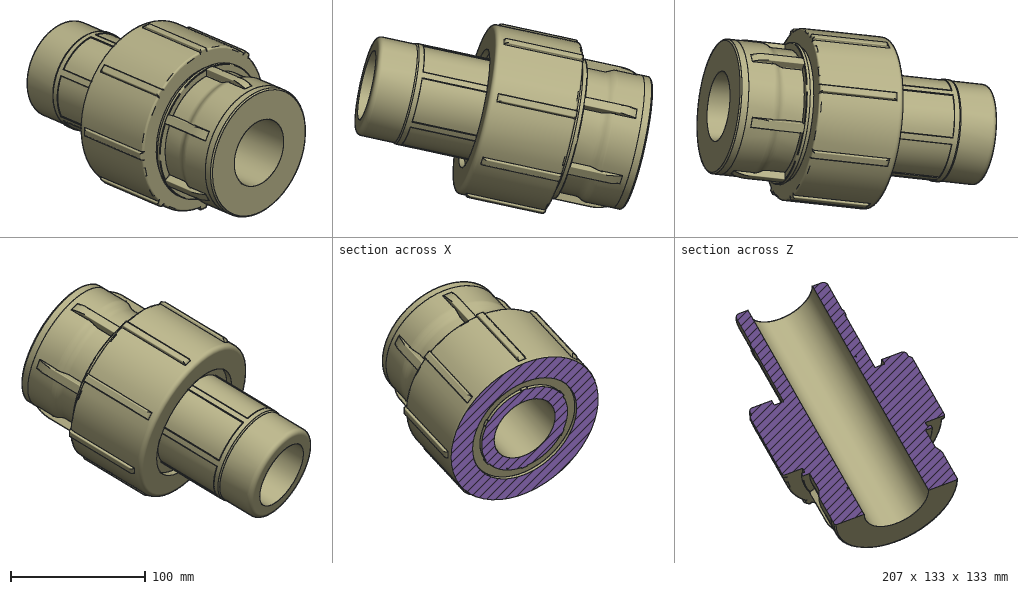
import cadquery as cq
import math


TOTAL_LENGTH = 207.0
COLLAR_START = 29.0
COLLAR_END = 34.3
NUT_START = 82.8
NUT_END = 149.4
RIM_START = 152.9
RIM_END = 155.9
NECK_END = 170.6
SHOULDER_MIDDLE = 175.4
SHOULDER_END = 180.2
END_BAND_START = 200.5

BORE_DIAMETER = 52.63
PIPE_DIAMETER = 75.18
COLLAR_DIAMETER = 76.69
PIPE_END_ROUND = 3.8
COLLAR_LEAD_IN = 1.2

PIPE_RIB_COUNT = 6
PIPE_RIB_WIDTH = 4.9
PIPE_RIB_FOOT_ROUND = 0.5

NUT_DIAMETER = 129.01
NUT_BORE_DIAMETER = 90.22
NUT_BORE_DEPTH = 4.6
NUT_FRONT_ROUND = 3.5
NUT_BACK_ROUND = 1.5

NUT_RIB_COUNT = 8
NUT_RIB_TIP_DIAMETER = 133.0
NUT_RIB_START = 88.4
NUT_RIB_WIDTH = 5.7
NUT_RIB_FOOT_ROUND = 0.6
NUT_RIB_TOP_ROUND = 0.8
NUT_RIB_END_ROUND = 3.3

BODY_DIAMETER = 101.08
END_BAND_DIAMETER = 101.12
NECK_DIAMETER = 95.4
RIM_DIAMETER = 106.4
RIM_ROUND = 0.5
BODY_END_CHAMFER = 1.1

BODY_RIB_COUNT = 6
BODY_RIB_WIDTH = 7.2
BODY_RIB_FOOT_ROUND = 0.6
BODY_RIB_TOP_ROUND = 0.5
BODY_RIB_BEND = 184.0
BODY_RIB_END = 196.0

RIB_EMBED = 3.0
FOOT_SINK = 0.05


def cylinder(diameter, start, end):
    """Solid cylinder along X between two positions."""
    return cq.Workplane("YZ", origin=(start, 0, 0)).circle(diameter / 2).extrude(end - start)


def straight_rib(start, end, base_radius, top_radius, width, foot_round, top_round=0):
    """Rib along X on the +Z side, with a concave round at each foot and rounded top edges."""
    side = width / 2
    foot = side + foot_round
    foot_height = math.sqrt(base_radius**2 - foot**2) - FOOT_SINK
    root_radius = base_radius - RIB_EMBED
    shoulder_height = top_radius - top_round
    section = (
        cq.Workplane("YZ", origin=(start, 0, 0))
        .moveTo(-foot, root_radius)
        .lineTo(foot, root_radius)
        .lineTo(foot, foot_height)
        .radiusArc((side, foot_height + foot_round), foot_round)
        .lineTo(side, shoulder_height)
    )
    if top_round > 0:
        section = section.radiusArc((side - top_round, top_radius), -top_round)
        section = section.lineTo(top_round - side, top_radius)
        section = section.radiusArc((-side, shoulder_height), -top_round)
    else:
        section = section.lineTo(-side, top_radius)
    section = section.lineTo(-side, foot_height + foot_round)
    section = section.radiusArc((-foot, foot_height), foot_round)
    return section.close().extrude(end - start)


def add_around_axis(base, rib, count):
    """Join evenly spaced copies of a rib to the base, the first on the +Z side."""
    for index in range(count):
        base = base.union(rib.rotate((0, 0, 0), (1, 0, 0), index * 360 / count))
    return base


def make_pipe():
    pipe_radius = PIPE_DIAMETER / 2
    collar_radius = COLLAR_DIAMETER / 2
    pipe_end = NUT_START + NUT_BORE_DEPTH
    pipe = cylinder(PIPE_DIAMETER, 0, pipe_end)
    pipe = pipe.faces("<X").edges().fillet(PIPE_END_ROUND)
    collar = cylinder(COLLAR_DIAMETER, COLLAR_START, COLLAR_END)
    collar = collar.faces("<X").edges().chamfer(COLLAR_LEAD_IN, collar_radius - pipe_radius)
    rib = straight_rib(
        COLLAR_END, pipe_end, pipe_radius, collar_radius, PIPE_RIB_WIDTH, PIPE_RIB_FOOT_ROUND
    )
    rib = rib.intersect(cylinder(COLLAR_DIAMETER, COLLAR_END, pipe_end))
    return add_around_axis(pipe.union(collar), rib, PIPE_RIB_COUNT)


def make_nut():
    nut = cylinder(NUT_DIAMETER, NUT_START, NUT_END)
    nut = nut.faces("<X").edges().fillet(NUT_FRONT_ROUND)
    nut = nut.faces(">X").edges().fillet(NUT_BACK_ROUND)
    nut = nut.cut(cylinder(NUT_BORE_DIAMETER, NUT_START, NUT_START + NUT_BORE_DEPTH))
    return add_around_axis(nut, make_nut_rib(), NUT_RIB_COUNT)


def make_nut_rib():
    """Rib along the nut, its top rounded down at both ends."""
    tip_radius = NUT_RIB_TIP_DIAMETER / 2
    rib = straight_rib(
        NUT_RIB_START,
        NUT_END,
        NUT_DIAMETER / 2,
        tip_radius,
        NUT_RIB_WIDTH,
        NUT_RIB_FOOT_ROUND,
        NUT_RIB_TOP_ROUND,
    )
    side_outline = (
        cq.Workplane("XZ")
        .moveTo(NUT_RIB_START, 0)
        .lineTo(NUT_RIB_START, tip_radius - NUT_RIB_END_ROUND)
        .radiusArc((NUT_RIB_START + NUT_RIB_END_ROUND, tip_radius), NUT_RIB_END_ROUND)
        .lineTo(NUT_END - NUT_BACK_ROUND, tip_radius)
        .radiusArc((NUT_END, tip_radius - NUT_BACK_ROUND), NUT_BACK_ROUND)
        .lineTo(NUT_END, 0)
        .close()
    )
    return rib.intersect(side_outline.extrude(NUT_RIB_WIDTH, both=True))


def make_body():
    """Rim, neck, curved shoulder and end band behind the nut."""
    body_radius = BODY_DIAMETER / 2
    neck_radius = NECK_DIAMETER / 2
    band_radius = END_BAND_DIAMETER / 2
    middle_radius = (body_radius + neck_radius) / 2
    profile = (
        cq.Workplane("XZ")
        .moveTo(NUT_END, 0)
        .lineTo(NUT_END, body_radius)
        .lineTo(RIM_START, body_radius)
        .lineTo(RIM_START, neck_radius)
        .lineTo(NECK_END, neck_radius)
        .tangentArcPoint((SHOULDER_MIDDLE, middle_radius), relative=False)
        .tangentArcPoint((SHOULDER_END, body_radius), relative=False)
        .lineTo(END_BAND_START, body_radius)
        .lineTo(END_BAND_START, band_radius)
        .lineTo(TOTAL_LENGTH - BODY_END_CHAMFER, band_radius)
        .lineTo(TOTAL_LENGTH, band_radius - BODY_END_CHAMFER)
        .lineTo(TOTAL_LENGTH, 0)
        .close()
    )
    body = profile.revolve(360, (0, 0, 0), (1, 0, 0))
    rim = cylinder(RIM_DIAMETER, RIM_START, RIM_END).edges().fillet(RIM_ROUND)
    return add_around_axis(body.union(rim), make_body_rib(), BODY_RIB_COUNT)


def make_body_rib():
    """Rib from the rim over the shoulder, its top curving down at the far end."""
    neck_radius = NECK_DIAMETER / 2
    body_radius = BODY_DIAMETER / 2
    top_radius = RIM_DIAMETER / 2
    rib_start = RIM_END - RIM_ROUND
    shape = (top_radius, BODY_RIB_WIDTH, BODY_RIB_FOOT_ROUND, BODY_RIB_TOP_ROUND)
    neck_part = straight_rib(rib_start, BODY_RIB_END, neck_radius, *shape)
    body_part = straight_rib(SHOULDER_END, BODY_RIB_END, body_radius, *shape)
    side_outline = (
        cq.Workplane("XZ")
        .moveTo(rib_start, 0)
        .lineTo(rib_start, top_radius)
        .lineTo(BODY_RIB_BEND, top_radius)
        .tangentArcPoint((BODY_RIB_END, body_radius), relative=False)
        .lineTo(BODY_RIB_END, 0)
        .close()
    )
    return neck_part.union(body_part).intersect(side_outline.extrude(BODY_RIB_WIDTH, both=True))


bore = cylinder(BORE_DIAMETER, 0, TOTAL_LENGTH)
result = make_pipe().union(make_nut()).union(make_body()).cut(bore)